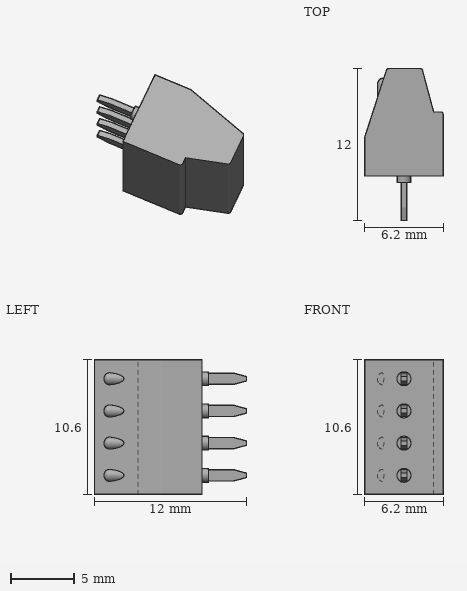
import cadquery as cq
import math

pole_count = 4
pitch = 2.54
end_margin = 1.5
body_height = (pole_count - 1) * pitch + 2 * end_margin

body_width = 6.2
body_depth = 8.5
front_shoulder_y = 3.1
front_slope_angle = 18.0
step_y = 5.08
step_width = 0.75
rear_slope_angle = 15.0
edge_radius = 0.2

collar_diameter = 1.1
collar_length = 0.5
pin_length = 3.5
pin_thickness = 0.46
pin_width = 0.9
tip_width = 0.36
tip_length = 1.0

stud_radius = 0.5
stud_x = -1.6
stud_top_y = 7.75
stud_bottom_y = 5.0

half_width = body_width / 2
pole_heights = [(i - (pole_count - 1) / 2) * pitch for i in range(pole_count)]


def make_housing():
    front_run = (body_depth - front_shoulder_y) * math.tan(math.radians(front_slope_angle))
    rear_run = (body_depth - step_y) * math.tan(math.radians(rear_slope_angle))
    step_inner_x = half_width - step_width
    top_left = (-half_width + front_run, body_depth)
    top_right = (step_inner_x - rear_run, body_depth)
    step_corner = (half_width, step_y)
    outline = [
        (-half_width, 0),
        (half_width, 0),
        step_corner,
        (step_inner_x, step_y),
        top_right,
        top_left,
        (-half_width, front_shoulder_y),
    ]
    housing = cq.Workplane("XY").polyline(outline).close().extrude(body_height / 2, both=True)
    for x, y in (top_left, top_right, step_corner):
        corner_edge = cq.selectors.NearestToPointSelector((x, y, 0))
        housing = housing.edges("|Z").edges(corner_edge).fillet(edge_radius)
    return housing


def make_pin(z):
    collar = (
        cq.Workplane("XZ", origin=(0, 0, z))
        .circle(collar_diameter / 2)
        .extrude(collar_length)
    )
    taper_y = tip_length - pin_length
    blade_outline = [
        (0, -pin_width / 2),
        (taper_y, -pin_width / 2),
        (-pin_length, -tip_width / 2),
        (-pin_length, tip_width / 2),
        (taper_y, pin_width / 2),
        (0, pin_width / 2),
    ]
    blade = (
        cq.Workplane("YZ", origin=(0, 0, z))
        .polyline(blade_outline)
        .close()
        .extrude(pin_thickness / 2, both=True)
    )
    return collar.union(blade)


def make_stud(z):
    dome_y = stud_top_y - stud_radius
    return (
        cq.Workplane("XY", origin=(stud_x, 0, z))
        .moveTo(0, stud_bottom_y)
        .lineTo(-stud_radius, stud_bottom_y)
        .lineTo(-stud_radius, dome_y)
        .radiusArc((0, stud_top_y), stud_radius)
        .close()
        .revolve(360, (0, 0, 0), (0, 1, 0))
    )


result = make_housing()
for pole_z in pole_heights:
    result = result.union(make_pin(pole_z)).union(make_stud(pole_z))